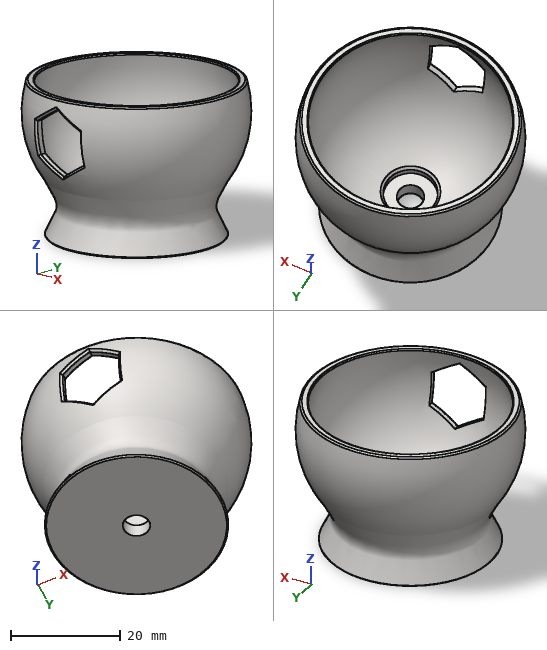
import cadquery as cq
import math

HEIGHT = 29.5
BALL_RADIUS = 21.06
BALL_CENTER_Z = 23.5
BALL_BOTTOM_Z = 11.0
FOOT_RADIUS = 16.8
WAIST_RADIUS = 14.65
WAIST_Z = 5.3
FOOT_FLARE = 0.5
NECK_FLARE = 0.57
FOOT_CHAMFER = 0.3
RIM_CHAMFER = 0.3

WALL = 1.5
BOWL_RADIUS = BALL_RADIUS - WALL

SEAT_DIAMETER = 10.0
SEAT_FLOOR_Z = 3.0
SEAT_CHAMFER = 0.5
DRAIN_DIAMETER = 5.0

WINDOW_CORNER_DIAMETER = 13.0
WINDOW_CENTER_Z = 21.0
WINDOW_CHAMFER = 0.5
SURFACE_TOLERANCE = 0.001


def circle_radius_at(sphere_radius, z):
    """Radius of the level circle at height z on a sphere about the ball center."""
    return math.sqrt(sphere_radius**2 - (z - BALL_CENTER_Z) ** 2)


def make_ball():
    """Solid ball cut flat at the rim and where it meets the neck."""
    top_radius = circle_radius_at(BALL_RADIUS, HEIGHT)
    bottom_radius = circle_radius_at(BALL_RADIUS, BALL_BOTTOM_Z)
    profile = (
        cq.Workplane("XZ")
        .moveTo(0, BALL_BOTTOM_Z)
        .lineTo(bottom_radius, BALL_BOTTOM_Z)
        .threePointArc((BALL_RADIUS, BALL_CENTER_Z), (top_radius, HEIGHT))
        .lineTo(0, HEIGHT)
        .close()
    )
    return profile.revolve(360, (0, 0), (0, 1))


def make_foot():
    """Solid foot whose side curves in to a waist and out again to the ball."""
    neck_radius = circle_radius_at(BALL_RADIUS, BALL_BOTTOM_Z)
    profile = (
        cq.Workplane("XZ")
        .lineTo(FOOT_RADIUS - FOOT_CHAMFER, 0)
        .lineTo(FOOT_RADIUS, FOOT_CHAMFER)
        .spline(
            [(WAIST_RADIUS, WAIST_Z), (neck_radius, BALL_BOTTOM_Z)],
            tangents=[(-FOOT_FLARE, 1), (NECK_FLARE, 1)],
            includeCurrent=True,
        )
        .lineTo(0, BALL_BOTTOM_Z)
        .close()
    )
    return profile.revolve(360, (0, 0), (0, 1))


def make_bowl():
    """Spherical hollow about the ball center."""
    return cq.Workplane("XY").sphere(BOWL_RADIUS).translate((0, 0, BALL_CENTER_Z))


def make_seat():
    """Counterbore in the bowl floor, with its mouth chamfered."""
    seat_radius = SEAT_DIAMETER / 2
    mouth_radius = seat_radius + SEAT_CHAMFER
    mouth_z = BALL_CENTER_Z - math.sqrt(BOWL_RADIUS**2 - mouth_radius**2)
    profile = (
        cq.Workplane("XZ")
        .polyline(
            [
                (0, SEAT_FLOOR_Z),
                (seat_radius, SEAT_FLOOR_Z),
                (seat_radius, mouth_z - SEAT_CHAMFER),
                (mouth_radius, mouth_z),
                (0, mouth_z),
            ]
        )
        .close()
    )
    return profile.revolve(360, (0, 0), (0, 1))


def make_drain():
    """Hole through the base, up into the bowl."""
    return cq.Workplane("XY").circle(DRAIN_DIAMETER / 2).extrude(BALL_CENTER_Z)


def make_window():
    """Hexagonal prism from the middle of the bowl out through the front wall."""
    return (
        cq.Workplane("XZ", origin=(0, 0, WINDOW_CENTER_Z))
        .transformed(rotate=(0, 0, 90))
        .polygon(6, WINDOW_CORNER_DIAMETER)
        .extrude(BALL_RADIUS)
    )


def on_ball(edge):
    """True if the edge lies on the outer surface of the ball."""
    center = cq.Vector(0, 0, BALL_CENTER_Z)
    distance = edge.positionAt(0.5).sub(center).Length
    return abs(distance - BALL_RADIUS) < SURFACE_TOLERANCE


def cut_window(body):
    """Cut the window and chamfer its outer edges."""
    body = body.cut(make_window())
    reach = WINDOW_CORNER_DIAMETER / 2
    front = cq.selectors.BoxSelector(
        (-reach, -BALL_RADIUS, WINDOW_CENTER_Z - reach),
        (reach, 0, WINDOW_CENTER_Z + reach),
    )
    outer_edges = [edge for edge in body.edges(front).vals() if on_ball(edge)]
    return body.newObject(outer_edges).chamfer(WINDOW_CHAMFER)


body = make_ball().cut(make_bowl()).faces(">Z").edges().chamfer(RIM_CHAMFER)
body = body.union(make_foot()).cut(make_bowl()).cut(make_seat()).cut(make_drain())
result = cut_window(body)